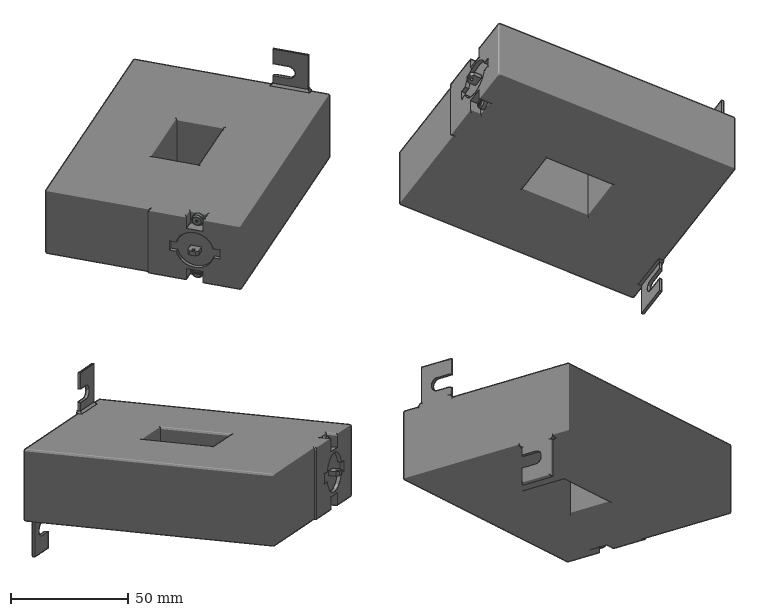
import cadquery as cq


total_length = 119.0
body_width = 89.0
body_height = 32.0
edge_radius = 1.0
window_width = 21.0
window_length = 32.0

panel_width = 42.0
panel_step = 1.0

terminal_reach = 3.0
terminal_width = 5.0
terminal_thickness = 2.0
terminal_chamfer = 1.2
terminal_hole_diameter = 1.3
recess_diameter = 17.3
recess_lug_span = 22.7
recess_lug_height = 4.5
recess_depth = 1.8

notch_width = 7.4
notch_height = 6.0
notch_depth = 5.0
screw_height = 13.0
screw_diameter = 5.1
screw_head_length = 2.5
screw_root_length = 2.4
screw_chamfer_length = 0.8
screw_chamfer_inset = 0.6
screw_socket_diameter = 1.1
screw_slot_width = 0.8
screw_cut_depth = 0.6

overall_height = 68.0
bracket_width = 16.0
bracket_thickness = 1.5
bracket_offset = 27.0
skirt_size = 1.0
slot_width = 6.0
upper_slot_reach = 10.0
lower_slot_reach = 10.8
slot_height = 23.7

body_length = total_length - terminal_reach - panel_step
back_y = body_length / 2
body_front_y = -body_length / 2
panel_front_y = body_front_y - panel_step
panel_x = body_width / 2 - panel_width / 2
recess_floor_y = panel_front_y + recess_depth
notch_wall_y = panel_front_y + notch_depth
screw_face_y = notch_wall_y - screw_head_length


def box_between(x_range, y_range, z_range):
    """Box given by its lower and upper limits along each axis."""
    sizes = [high - low for low, high in (x_range, y_range, z_range)]
    corner = (x_range[0], y_range[0], z_range[0])
    return cq.Workplane("XY").box(*sizes, centered=False).translate(corner)


def centred_range(centre, size):
    return (centre - size / 2, centre + size / 2)


def front_plane(x, y, z):
    """Workplane facing -Y, with local X along +X and local Y along +Z."""
    return cq.Workplane(cq.Plane(origin=(x, y, z), xDir=(1, 0, 0), normal=(0, -1, 0)))


def make_body():
    """Rounded block with the raised panel, the window and both screw notches."""
    full_height = centred_range(0, body_height)
    body = cq.Workplane("XY").box(body_width, body_length, body_height)
    panel = box_between(centred_range(panel_x, panel_width), (panel_front_y, 0), full_height)
    window = cq.Workplane("XY").box(window_width, window_length, body_height)
    body = body.union(panel).cut(window)
    notch_middle = body_height / 2 - notch_height / 2
    for z in (notch_middle, -notch_middle):
        notch = box_between(
            centred_range(panel_x, notch_width),
            (panel_front_y, notch_wall_y),
            centred_range(z, notch_height),
        )
        body = body.cut(notch)
    upright_corners = body.edges("|Z").edges("<X or >X")
    rims = body.faces("<Z or >Z").edges()
    return rims.add(upright_corners).fillet(edge_radius)


def make_recess():
    """Round recess with a lug on each side, around the terminal."""
    disc = front_plane(panel_x, recess_floor_y, 0).circle(recess_diameter / 2).extrude(recess_depth)
    lugs = front_plane(panel_x, recess_floor_y, 0).rect(recess_lug_span, recess_lug_height)
    return disc.union(lugs.extrude(recess_depth))


def make_terminal():
    """Flat blade with a chamfered tip and a small cross hole."""
    tip_y = panel_front_y - terminal_reach
    blade = box_between(
        centred_range(panel_x, terminal_width),
        (tip_y, recess_floor_y),
        centred_range(0, terminal_thickness),
    )
    blade = blade.edges("|Z and <Y").chamfer(terminal_chamfer)
    hole = cq.Workplane("XY").center(panel_x, panel_front_y - terminal_reach / 2)
    hole = hole.circle(terminal_hole_diameter / 2).extrude(terminal_thickness, both=True)
    return blade.cut(hole)


def make_screw(z):
    """Screw with a chamfered head, rooted in the back wall of its notch."""
    screw = front_plane(panel_x, notch_wall_y + screw_root_length, z).circle(screw_diameter / 2)
    screw = screw.extrude(screw_root_length + screw_head_length)
    front_rim = screw.faces("<Y").edges().vals()
    return cq.Workplane(screw.val().chamfer(screw_chamfer_length, screw_chamfer_inset, front_rim))


def make_bracket(slot_reach):
    """Upright mounting plate at the back, flared where it leaves the body."""
    top_z = overall_height / 2
    body_top = body_height / 2
    plate = box_between(
        centred_range(bracket_offset, bracket_width), (back_y - bracket_thickness, back_y), (0, top_z)
    )
    plate = plate.faces(">Y").edges("not <Z").fillet(edge_radius)

    slot_end_x = bracket_offset - bracket_width / 2 + slot_reach
    slot_length = 2 * slot_reach
    slot = front_plane(slot_end_x - slot_length / 2, back_y, slot_height)
    slot = slot.slot2D(slot_length, slot_width).extrude(bracket_thickness)

    skirt_width = bracket_width + 2 * skirt_size
    skirt_depth = bracket_thickness + skirt_size
    skirt = (
        cq.Workplane("XY", origin=(bracket_offset, back_y - skirt_depth / 2, body_top))
        .rect(skirt_width, skirt_depth)
        .workplane(offset=skirt_size)
        .center(0, skirt_size / 2)
        .rect(bracket_width, bracket_thickness)
        .loft(ruled=True)
    )
    foot = box_between(
        centred_range(bracket_offset, skirt_width),
        (back_y - skirt_depth, back_y),
        (body_top - edge_radius, body_top),
    )
    return plate.cut(slot).union(skirt).union(foot)


def screw_cut_plane(z):
    """Plane at the floor of the driver cut in a screw head."""
    return front_plane(panel_x, screw_face_y + screw_cut_depth, z)


socket = screw_cut_plane(screw_height).circle(screw_socket_diameter / 2).extrude(screw_cut_depth)
slot = screw_cut_plane(-screw_height).rect(screw_diameter, screw_slot_width).extrude(screw_cut_depth)
upper_screw = make_screw(screw_height).cut(socket)
lower_screw = make_screw(-screw_height).cut(slot)
upper_bracket = make_bracket(upper_slot_reach)
lower_bracket = make_bracket(lower_slot_reach).rotate((0, 0, 0), (0, 1, 0), 180)

result = make_body().cut(make_recess()).union(make_terminal())
result = result.union(upper_screw).union(lower_screw)
result = result.union(upper_bracket).union(lower_bracket)